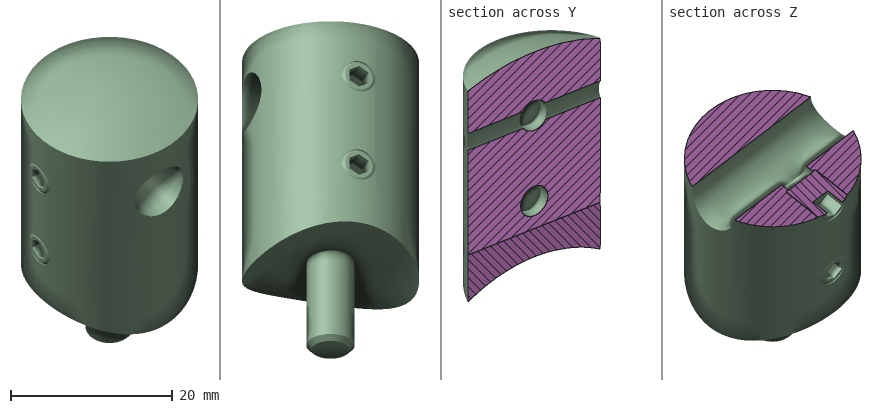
import cadquery as cq
import math

overall_height = 42.35
body_diameter = 22.0
body_radius = body_diameter / 2
dome_rise = 2.08
dome_edge_z = overall_height - dome_rise
saddle_thickness = 4.05
saddle_crest_z = 12.35
joint_z = saddle_crest_z + saddle_thickness

tube_radius = 21.2

bore_diameter = 7.5
bore_below_dome_edge = 7.4
bore_z = dome_edge_z - bore_below_dome_edge

stud_diameter = 6.0
stud_radius = stud_diameter / 2
stud_tip_chamfer = 0.65
stud_top_z = 25.4

screw_hole_diameter = 4.2
screw_diameter = 5.0
screw_length = 6.0
screw_face_diameter = 3.6
screw_chamfer_angle = math.radians(30)
hex_across_flats = 2.5
hex_depth = 2.5
screw_spacing = 12.35
screw_heights = [bore_z, bore_z - screw_spacing]


def cylinder_up(radius, bottom_z, top_z):
    """Upright cylinder on the Z axis."""
    return cq.Workplane("XY").workplane(offset=bottom_z).circle(radius).extrude(top_z - bottom_z)


def cylinder_from_front(diameter, z, depth):
    """Cylinder running in +Y from the frontmost line of the body."""
    front = cq.Workplane("XZ", origin=(0, -body_radius, z))
    return front.circle(diameter / 2).extrude(-depth)


def screw_blank(z):
    """Outer form of a set screw: a rod with a chamfered outer face flush with the body."""
    rod = cylinder_from_front(screw_diameter, z, screw_length)
    chamfer_width = (screw_diameter - screw_face_diameter) / 2
    chamfer_depth = chamfer_width * math.tan(screw_chamfer_angle)
    return rod.faces("<Y").chamfer(chamfer_depth, chamfer_width)


def make_housing():
    """Domed cylinder with a cross bore, two threaded screw holes and a stud socket."""
    dome_radius = (body_radius**2 + dome_rise**2) / (2 * dome_rise)
    mid_x = body_radius / 2
    mid_z = overall_height - dome_radius + math.sqrt(dome_radius**2 - mid_x**2)
    housing = (
        cq.Workplane("XZ")
        .moveTo(0, joint_z)
        .lineTo(body_radius, joint_z)
        .lineTo(body_radius, dome_edge_z)
        .threePointArc((mid_x, mid_z), (0, overall_height))
        .close()
        .revolve(360, (0, 0, 0), (0, 1, 0))
    )
    bore = (
        cq.Workplane("YZ", origin=(0, 0, bore_z))
        .circle(bore_diameter / 2)
        .extrude(body_radius, both=True)
    )
    housing = housing.cut(bore)
    for z in screw_heights:
        housing = housing.cut(cylinder_from_front(screw_hole_diameter, z, body_radius))
        housing = housing.cut(screw_blank(z))
    return housing.cut(cylinder_up(stud_radius, joint_z, stud_top_z))


def make_saddle():
    """Disc whose underside is hollowed to fit the tube, with a hole for the stud."""
    tube = (
        cq.Workplane("XZ", origin=(0, 0, saddle_crest_z - tube_radius))
        .circle(tube_radius)
        .extrude(body_radius, both=True)
    )
    stud_hole = cylinder_up(stud_radius, 0, joint_z)
    return cylinder_up(body_radius, 0, joint_z).cut(tube).cut(stud_hole)


def make_stud():
    """Stud through the saddle into the housing, with a tapered tip."""
    stud = cylinder_up(stud_radius, 0, stud_top_z)
    return stud.faces("<Z").chamfer(stud_tip_chamfer)


def make_set_screw(z):
    """Headless screw with a chamfered outer face and a hexagon socket."""
    hex_across_corners = hex_across_flats / math.cos(math.pi / 6)
    socket = (
        cq.Workplane("XZ", origin=(0, -body_radius, z))
        .transformed(rotate=(0, 0, 90))
        .polygon(6, hex_across_corners)
        .extrude(-hex_depth)
    )
    return screw_blank(z).cut(socket)


housing = make_housing()
saddle = make_saddle()
stud = make_stud()
set_screws = [make_set_screw(z) for z in screw_heights]

result = cq.Compound.makeCompound(
    [housing.val(), saddle.val(), stud.val(), *[screw.val() for screw in set_screws]]
)